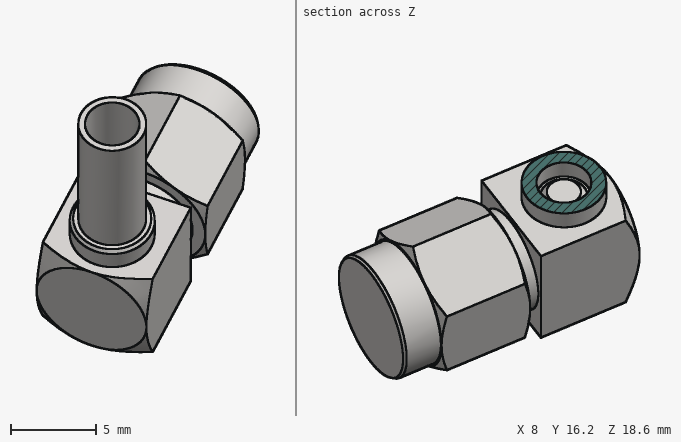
import cadquery as cq
import math

body_width = 7.0
body_length = 6.7
body_corner_depth = 0.95

neck_diameter = 6.4
neck_length = 1.0
hex_flats = 8.0
hex_length = 6.0
hex_chamfer_angle = 30.0
sleeve_diameter = 7.8
sleeve_chamfer_length = 0.19
sleeve_chamfer_depth = 0.11
overall_length = 16.2

overall_height = 18.59
tube_offset = 3.12
collar_diameter = 5.0
collar_height = 1.45
collar_chamfer = 0.2
tube_diameter = 4.0
bore_diameter = 3.2
core_diameter = 2.79
core_tip_diameter = 2.0

hex_corners = hex_flats / math.cos(math.radians(30))
body_top = body_width / 2
tube_top = overall_height - hex_corners / 2
hex_start = body_length + neck_length
hex_end = hex_start + hex_length


def revolve_about_y(points):
    """Revolve a (radius, Y) outline around the nut axis."""
    return cq.Workplane("XY").polyline(points).close().revolve(360, (0, 0, 0), (0, 1, 0))


def cylinder_along_y(diameter, start, end):
    radius = diameter / 2
    return revolve_about_y([(0, start), (radius, start), (radius, end), (0, end)])


def cylinder_along_z(diameter, bottom, top):
    plane = cq.Workplane("XY", origin=(0, tube_offset, bottom))
    return plane.circle(diameter / 2).extrude(top - bottom)


def make_body():
    """Square block whose outer corners are turned to a cone around the inscribed circle."""
    block = cq.Workplane("XY").box(body_width, body_length, body_width, centered=(True, False, True))
    corner_radius = body_width / math.sqrt(2)
    envelope = revolve_about_y([
        (0, 0),
        (body_width / 2, 0),
        (corner_radius, body_corner_depth),
        (corner_radius, body_length),
        (0, body_length),
    ])
    return block.intersect(envelope)


def make_hex():
    """Hexagon with corners up and down, and conical chamfers at both ends."""
    prism = (
        cq.Workplane("XZ", origin=(0, hex_start, 0))
        .transformed(rotate=(0, 0, 30))
        .polygon(6, hex_corners)
        .extrude(-hex_length)
    )
    flat_radius = hex_flats / 2
    corner_radius = hex_corners / 2
    chamfer_depth = (corner_radius - flat_radius) * math.tan(math.radians(hex_chamfer_angle))
    envelope = revolve_about_y([
        (0, hex_start),
        (flat_radius, hex_start),
        (corner_radius, hex_start + chamfer_depth),
        (corner_radius, hex_end - chamfer_depth),
        (flat_radius, hex_end),
        (0, hex_end),
    ])
    return prism.intersect(envelope)


def make_sleeve():
    radius = sleeve_diameter / 2
    return revolve_about_y([
        (0, hex_end),
        (radius, hex_end),
        (radius, overall_length - sleeve_chamfer_length),
        (radius - sleeve_chamfer_depth, overall_length),
        (0, overall_length),
    ])


def make_cable_entry():
    """Chamfered collar and open tube, with a tapered core on the floor of the bore."""
    collar = cylinder_along_z(collar_diameter, body_top, body_top + collar_height)
    collar = collar.faces(">Z").edges().chamfer(collar_chamfer)
    tube = cylinder_along_z(tube_diameter, body_top, tube_top)
    bore = cylinder_along_z(bore_diameter, body_top, tube_top)
    core_height = (core_diameter - core_tip_diameter) / 2
    core_base = cq.Vector(0, tube_offset, body_top)
    core = cq.Workplane(cq.Solid.makeCone(core_diameter / 2, core_tip_diameter / 2, core_height, core_base))
    return collar.union(tube).cut(bore).union(core)


neck = cylinder_along_y(neck_diameter, body_length, hex_start)
result = make_body().union(neck).union(make_hex()).union(make_sleeve()).union(make_cable_entry())